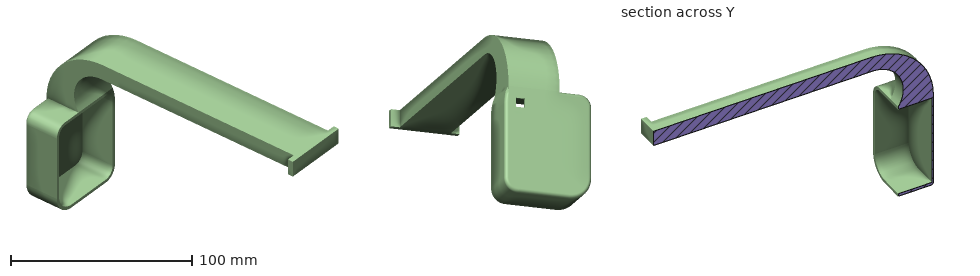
import cadquery as cq
import math

length = 178.59
height = 101.0
arm_width = 30.0
arm_thickness = 10.0
outer_bend_radius = 40.0
inner_bend_radius = 19.4

tab_thickness = 3.5
tab_overhang = 5.14

housing_depth = 22.7
housing_height = height - outer_bend_radius
housing_front = -34.0
housing_back = 17.0
top_front_radius = 7.0
bottom_front_radius = 13.0
bottom_back_radius = 8.0
rim_radius = 2.0
face_wall = 1.2
side_wall = 2.0

shoulder_start = 51.4
shoulder_rise = housing_height - shoulder_start
shoulder_inset = housing_back - arm_width / 2
shoulder_radius = (shoulder_rise**2 + shoulder_inset**2) / (2 * shoulder_inset)

window_size = 5.2
window_y = 8.0
window_z = 51.9


def make_arm():
    """Side profile in XZ, extruded across the arm width."""
    outer_offset = outer_bend_radius * math.sqrt(0.5)
    outer_mid = (outer_bend_radius - outer_offset, housing_height + outer_offset)

    underside = height - arm_thickness
    inner_center_z = underside - inner_bend_radius
    inner_drop = inner_center_z - housing_height
    inner_center_x = housing_depth + math.sqrt(inner_bend_radius**2 - inner_drop**2)
    inner_mid = (inner_center_x - inner_bend_radius, inner_center_z)
    return (
        cq.Workplane("XZ")
        .moveTo(0, housing_height)
        .threePointArc(outer_mid, (outer_bend_radius, height))
        .lineTo(length, height)
        .lineTo(length, underside)
        .lineTo(inner_center_x, underside)
        .threePointArc(inner_mid, (housing_depth, housing_height))
        .close()
        .extrude(arm_width / 2, both=True)
    )


def make_tab():
    tab_width = arm_width + 2 * tab_overhang
    return (
        cq.Workplane("XY")
        .box(tab_thickness, tab_width, arm_thickness, centered=(False, True, False))
        .translate((length - tab_thickness, 0, height - arm_thickness))
    )


def housing_outline(inset=0.0):
    """YZ outline of the housing, moved inward by an inset."""
    front = housing_front + inset
    back = housing_back - inset
    bottom = inset
    top = housing_height - inset
    top_front = top_front_radius - inset
    bottom_front = bottom_front_radius - inset
    bottom_back = bottom_back_radius - inset
    shoulder = shoulder_radius - inset
    shoulder_run = math.sqrt(shoulder**2 - (top - shoulder_start) ** 2)
    shoulder_end = (back - shoulder + shoulder_run, top)
    return (
        cq.Workplane("YZ")
        .moveTo(*shoulder_end)
        .lineTo(front + top_front, top)
        .radiusArc((front, top - top_front), -top_front)
        .lineTo(front, bottom + bottom_front)
        .radiusArc((front + bottom_front, bottom), -bottom_front)
        .lineTo(back - bottom_back, bottom)
        .radiusArc((back, bottom + bottom_back), -bottom_back)
        .lineTo(back, shoulder_start)
        .radiusArc(shoulder_end, -shoulder)
        .close()
    )


def make_housing():
    """Block with a rounded -X rim, interrupted where the arm runs in flush."""
    block = housing_outline().extrude(housing_depth)
    rounded_block = block.faces("<X").edges().fillet(rim_radius)
    arm_root = (
        cq.Workplane("XY")
        .box(rim_radius, arm_width, shoulder_rise, centered=(False, True, False))
        .translate((0, 0, shoulder_start))
    )
    return rounded_block.union(arm_root.intersect(block))


def make_cavity():
    """Hollow that follows the housing outline and opens on the +X side."""
    cavity = housing_outline(side_wall).extrude(housing_depth - face_wall)
    return cavity.translate((face_wall, 0, 0))


def make_window():
    return (
        cq.Workplane("XY")
        .box(face_wall, window_size, window_size, centered=(False, True, True))
        .translate((0, window_y, window_z))
    )


body = make_housing().union(make_arm()).union(make_tab())
result = body.cut(make_cavity()).cut(make_window())